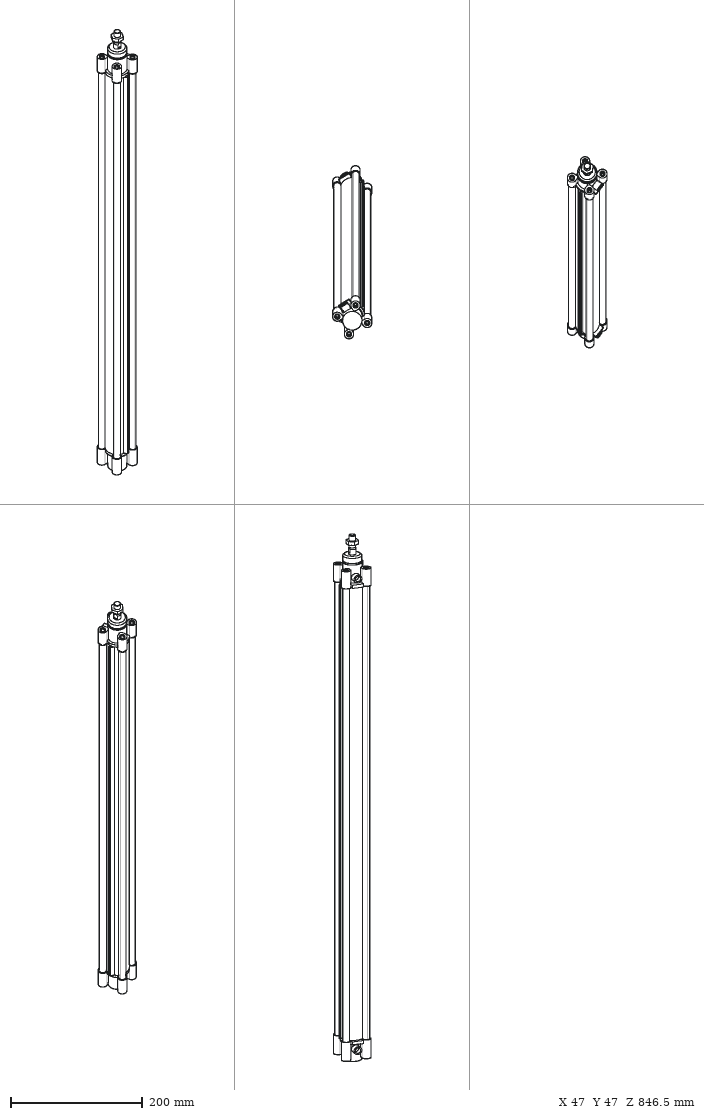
import cadquery as cq
import math

TOTAL_LENGTH = 846.5
FRONT_CAP_TOP = 796.5
FRONT_CAP_HEIGHT = 28.0
REAR_CAP_BOTTOM = 5.0
REAR_CAP_HEIGHT = 30.5
FRONT_COLLAR_TOP = 816.0
FLANGE_THICKNESS = 5.0
REAR_FLANGE_CHAMFER = 2.5

CAP_WIDTH = 47.0
CAP_LOBE_RADIUS = 7.2
NECK_DIAMETER = 30.0
FLANGE_DIAMETER = 37.0
COLLAR_CHAMFER = 2.5
GROOVE_LEVEL = 802.5
GROOVE_WIDTH = 2.5
GROOVE_DEPTH = 1.0
BOLT_HOLE_DIAMETER = 5.0
BOLT_HOLE_DEPTH = 1.0
COUNTERBORE_DIAMETER = 8.0
COUNTERBORE_DEPTH = 0.2
PORT_BOSS_DIAMETER = 13.0
PORT_DIAMETER = 8.5
PORT_DEPTH = 8.5

BARREL_DIAMETER = FLANGE_DIAMETER
BARREL_LOBE_RADIUS = 5.5
RAIL_REACH = 22.0
RAIL_WALL = 1.3
RAIL_TIP_TOP = 4.0
RAIL_TIP_BOTTOM = 1.0
RAIL_ROOT = -4.0
SLOT_FLOOR = 16.0
SLOT_BOTTOM = 2.1

ROD_DIAMETER = 12.0
THREAD_DIAMETER = 10.0
THREAD_START = 827.0
THREAD_CHAMFER = 1.0
ROD_CHAMFER_HEIGHT = 2.5
FLATS_WIDTH = 10.0
FLATS_BOTTOM = 818.5
NUT_WIDTH = 17.0
NUT_BOTTOM = 832.0
NUT_THICKNESS = 6.0

bolt_offset = CAP_WIDTH / 2 - CAP_LOBE_RADIUS
rod_chamfer = (ROD_DIAMETER - THREAD_DIAMETER) / 2
port_block_width = 2 * (bolt_offset - CAP_LOBE_RADIUS)
front_cap_bottom = FRONT_CAP_TOP - FRONT_CAP_HEIGHT
rear_cap_top = REAR_CAP_BOTTOM + REAR_CAP_HEIGHT
bolt_points = [(sx * bolt_offset, sy * bolt_offset) for sx in (-1, 1) for sy in (-1, 1)]


def cylinder(diameter, bottom, top):
    return cq.Workplane("XY", origin=(0, 0, bottom)).circle(diameter / 2).extrude(top - bottom)


def corner_lobe(index, bottom, height):
    """Bolt pad: a three-quarter round whose straight sides run in to the neck."""
    inner = bolt_offset - CAP_LOBE_RADIUS
    far = bolt_offset + CAP_LOBE_RADIUS * math.sqrt(0.5)
    lobe = (
        cq.Workplane("XY", origin=(0, 0, bottom))
        .moveTo(inner, inner)
        .lineTo(bolt_offset, inner)
        .threePointArc((far, far), (inner, bolt_offset))
        .close()
        .extrude(height)
    )
    return lobe.rotate((0, 0, 0), (0, 0, 1), 90 * index)


def cap_body(bottom, height, flange_bottom):
    body = cylinder(NECK_DIAMETER, bottom, bottom + height)
    for index in range(4):
        body = body.union(corner_lobe(index, bottom, height))
    body = body.union(cylinder(FLANGE_DIAMETER, flange_bottom, flange_bottom + FLANGE_THICKNESS))

    face_y = CAP_WIDTH / 2
    block = cq.Workplane("XY", origin=(0, face_y / 2, flange_bottom)).rect(port_block_width, face_y)
    body = body.union(block.extrude(FLANGE_THICKNESS))
    port_plane = cq.Workplane("XZ", origin=(0, face_y, bottom + height / 2))
    body = body.union(port_plane.circle(PORT_BOSS_DIAMETER / 2).extrude(face_y))
    return body.cut(port_plane.circle(PORT_DIAMETER / 2).extrude(PORT_DEPTH))


def bolt_holes(level, inward):
    """Counterbored holes entering from the given level; inward is the Z direction, +1 or -1."""
    plane = cq.Workplane("XY", origin=(0, 0, level)).pushPoints(bolt_points)
    holes = plane.circle(BOLT_HOLE_DIAMETER / 2).extrude(inward * BOLT_HOLE_DEPTH)
    return holes.union(plane.circle(COUNTERBORE_DIAMETER / 2).extrude(inward * COUNTERBORE_DEPTH))


def make_front_cap():
    cap = cap_body(front_cap_bottom, FRONT_CAP_HEIGHT, front_cap_bottom)
    collar = cylinder(NECK_DIAMETER, front_cap_bottom, FRONT_COLLAR_TOP)
    collar = collar.faces(">Z").chamfer(COLLAR_CHAMFER)
    groove_top = GROOVE_LEVEL + GROOVE_WIDTH
    groove_core = cylinder(NECK_DIAMETER - 2 * GROOVE_DEPTH, GROOVE_LEVEL, groove_top)
    groove = cylinder(NECK_DIAMETER, GROOVE_LEVEL, groove_top).cut(groove_core)
    cap = cap.union(collar).cut(groove)
    cap = cap.cut(bolt_holes(FRONT_CAP_TOP, -8.5))
    return cap.cut(cylinder(ROD_DIAMETER, front_cap_bottom, FRONT_COLLAR_TOP))


def make_rear_cap():
    cap = cap_body(REAR_CAP_BOTTOM, REAR_CAP_HEIGHT, rear_cap_top - FLANGE_THICKNESS)
    cap = cap.union(cylinder(NECK_DIAMETER, 0, rear_cap_top))

    cone_top = rear_cap_top - FLANGE_THICKNESS
    cone_bottom = cone_top - REAR_FLANGE_CHAMFER
    cone = (
        cq.Workplane("XY", origin=(0, 0, cone_bottom))
        .circle(FLANGE_DIAMETER / 2 - REAR_FLANGE_CHAMFER)
        .workplane(offset=REAR_FLANGE_CHAMFER)
        .circle(FLANGE_DIAMETER / 2)
        .loft()
    )
    cap = cap.union(cone)
    return cap.cut(bolt_holes(REAR_CAP_BOTTOM, 8.5))


def barrel_lobe(index, bottom, length):
    """Corner rib: an outer quarter arc completed by a three-quarter arc."""
    outer = bolt_offset + BARREL_LOBE_RADIUS
    diagonal = BARREL_LOBE_RADIUS * math.sqrt(0.5)
    lobe = (
        cq.Workplane("XY", origin=(0, 0, bottom))
        .moveTo(outer, bolt_offset)
        .threePointArc((bolt_offset + diagonal, bolt_offset + diagonal), (bolt_offset, outer))
        .threePointArc((bolt_offset - diagonal, bolt_offset - diagonal), (outer, bolt_offset))
        .close()
        .extrude(length)
    )
    return lobe.rotate((0, 0, 0), (0, 0, 1), 90 * index)


def make_barrel():
    length = front_cap_bottom - rear_cap_top
    radius = BARREL_DIAMETER / 2
    root_x = math.sqrt(radius**2 - RAIL_ROOT**2)
    slot_top = math.sqrt(radius**2 - SLOT_FLOOR**2)
    groove_x = RAIL_REACH - RAIL_WALL
    plane = cq.Workplane("XY", origin=(0, 0, rear_cap_top))
    barrel = plane.circle(radius).extrude(length)
    for index in range(4):
        lobe = barrel_lobe(index, rear_cap_top, length)
        barrel = barrel.union(lobe, clean=False)

    rail = (
        plane.moveTo(0, RAIL_ROOT)
        .lineTo(root_x, RAIL_ROOT)
        .lineTo(RAIL_REACH, RAIL_TIP_BOTTOM)
        .lineTo(RAIL_REACH, RAIL_TIP_TOP)
        .lineTo(0, RAIL_TIP_TOP)
        .close()
        .extrude(length)
    )
    slot = (
        plane.moveTo(SLOT_FLOOR, SLOT_BOTTOM)
        .lineTo(groove_x, SLOT_BOTTOM)
        .lineTo(groove_x, slot_top)
        .lineTo(SLOT_FLOOR, slot_top)
        .close()
        .extrude(length)
    )
    barrel = barrel.cut(slot, clean=False).cut(slot.mirror("YZ"), clean=False)
    hook = rail.cut(slot)
    return barrel.union(hook, clean=False).union(hook.mirror("YZ"), clean=False)


def make_rod():
    shank = cylinder(ROD_DIAMETER, front_cap_bottom, THREAD_START)
    rod = shank.faces(">Z").chamfer(ROD_CHAMFER_HEIGHT, rod_chamfer)
    thread = cylinder(THREAD_DIAMETER, THREAD_START, TOTAL_LENGTH).faces(">Z").chamfer(THREAD_CHAMFER)

    for side in (-1, 1):
        waste_x = side * (FLATS_WIDTH + ROD_DIAMETER) / 2
        waste = cq.Workplane("XY", origin=(waste_x, 0, FLATS_BOTTOM)).rect(ROD_DIAMETER, ROD_DIAMETER)
        rod = rod.cut(waste.extrude(THREAD_START - FLATS_BOTTOM))
    return rod.union(thread)


def make_nut():
    """Hexagon with flats facing -X and +X."""
    corner_diameter = NUT_WIDTH / math.cos(math.pi / 6)
    hexagon = cq.Workplane("XY").polygon(6, corner_diameter).extrude(NUT_THICKNESS)
    nut = hexagon.rotate((0, 0, 0), (0, 0, 1), 30).translate((0, 0, NUT_BOTTOM))
    return nut.cut(cylinder(THREAD_DIAMETER, NUT_BOTTOM, NUT_BOTTOM + NUT_THICKNESS))


front_cap = make_front_cap().solids()
rear_cap = make_rear_cap().solids()
barrel = make_barrel().solids()
rod = make_rod().solids()
nut = make_nut().solids()
result = cq.Compound.makeCompound(
    [front_cap.val(), rear_cap.val(), barrel.val(), rod.val(), nut.val()]
)